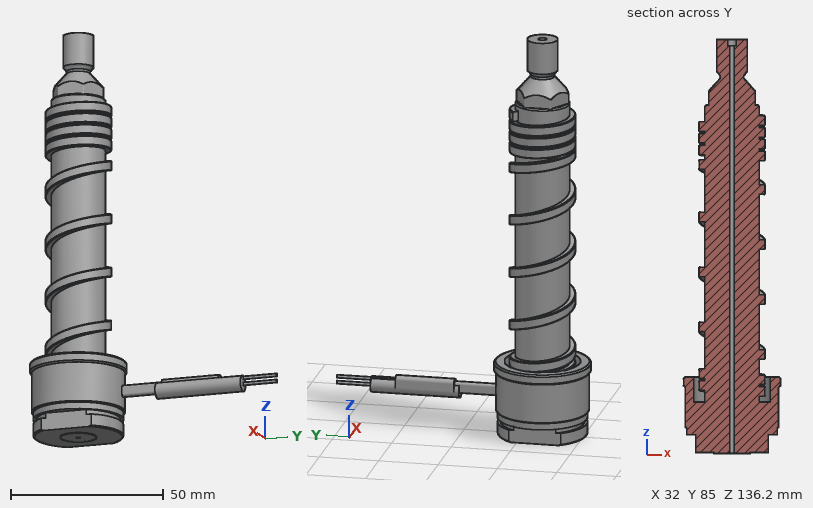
import cadquery as cq
import math

total_height = 136.2
total_depth = 85.0

foot_radius = 6.0
foot_height = 0.3
flange_radius = 14.8
flange_chamfer = 0.4
flange_top = 4.5
neck_radius = 13.9
neck_top = 6.1
ring_diameter = 29.8
ring_radius = ring_diameter / 2
ring_top = 8.3
body_radius = 15.4
body_bottom_chamfer = 0.4
rim_diameter = 32.0
rim_radius = rim_diameter / 2
rim_bottom = 21.8
rim_top = 25.2
rim_chamfer = 0.5
flats_width = 24.0
recess_radius = 12.5
recess_floor = 17.0

tube_radius = 9.0
tube_top = 114.7
tube_chamfer = 0.5

hex_across_flats = 15.4
hex_edge_fillet = 0.4
hex_corner_radius = hex_across_flats / math.sqrt(3)
nozzle_embed = 1.4
nozzle_bottom = tube_top - nozzle_embed
cone_bottom = 117.8
waist_radius = 4.0
waist_bottom = 123.4
waist_top = 124.2
tip_radius = 5.0
tip_bottom = 125.6
tip_shoulder_radius = 4.5
tip_shoulder_bottom = 125.0
orifice_radius = 0.7
counterbore_radius = 1.4
counterbore_depth = 2.0

strip_outer_radius = 10.9
strip_embed = 0.4
strip_inner_radius = tube_radius - strip_embed
strip_width = 3.3
strip_chamfer = 0.3
lower_close_turns = 1.5
blend_turns = 0.5
open_extra_angle = 117.0
open_turns = 3 + open_extra_angle / 360
upper_close_turns = 3.6
open_height = 60.0
open_pitch = open_height / open_turns
upper_close_height = 13.9
close_pitch = upper_close_height / upper_close_turns
coil_end_angle = 129.0
coil_top = 112.5
points_per_turn = 16

wire_x = -0.8
cable_z = 14.6
wire_radius = 0.5
wire_spacing = 2.0
wire_end = total_depth - rim_radius
sheath_x = -0.7
sheath_width = 2.3
sheath_height = 3.8
sheath_corner = 0.8
sheath_start = 13.6
sheath_end = 34.0
sleeve_diameter = 5.3
sleeve_radius = sleeve_diameter / 2
sleeve_z = 13.5
sleeve_start = 27.6
sleeve_end = 57.5
clip_width = 3.4
clip_top = 17.3
clip_corner = 1.2
clip_start = 29.3
clip_end = 49.0


def cylinder(radius, bottom, top):
    return cq.Workplane("XY").workplane(offset=bottom).circle(radius).extrude(top - bottom)


def make_base():
    flange = cylinder(flange_radius, foot_height, flange_top).faces("<Z").chamfer(flange_chamfer)
    neck = cylinder(neck_radius, flange_top, neck_top)
    flats = cq.Workplane("XY").box(flats_width, 2 * rim_radius, 2 * neck_top)
    foot = cylinder(foot_radius, 0, neck_top)
    ring = cylinder(ring_radius, neck_top, rim_bottom)
    body = cylinder(body_radius, ring_top, rim_bottom).faces("<Z").chamfer(body_bottom_chamfer)
    rim = cylinder(rim_radius, rim_bottom, rim_top).faces("<Z or >Z").chamfer(rim_chamfer)
    base = flange.union(neck).intersect(flats).union(foot).union(ring).union(body).union(rim)
    return base.cut(cylinder(recess_radius, recess_floor, rim_top))


def make_tube():
    return cylinder(tube_radius, foot_height, tube_top).faces(">Z").chamfer(tube_chamfer)


def make_nozzle():
    turned = (
        cq.Workplane("XZ")
        .moveTo(0, nozzle_bottom)
        .lineTo(hex_corner_radius, nozzle_bottom)
        .lineTo(hex_corner_radius, cone_bottom)
        .lineTo(waist_radius, waist_bottom)
        .lineTo(waist_radius, waist_top)
        .lineTo(tip_shoulder_radius, tip_shoulder_bottom)
        .lineTo(tip_radius, tip_bottom)
        .lineTo(tip_radius, total_height)
        .lineTo(0, total_height)
        .close()
        .revolve(360, (0, 0, 0), (0, 1, 0))
    )
    hexagon = (
        cq.Workplane("XY")
        .polygon(6, 2 * hex_corner_radius)
        .extrude(total_height)
        .edges("|Z")
        .fillet(hex_edge_fillet)
        .rotate((0, 0, 0), (0, 0, 1), 30)
    )
    return turned.intersect(hexagon)


def coil_rise(turns):
    """Height gained after a number of turns, measured from the lower end of the coil."""
    stretches = [
        (lower_close_turns, close_pitch, close_pitch),
        (blend_turns, close_pitch, open_pitch),
        (open_turns, open_pitch, open_pitch),
        (blend_turns, open_pitch, close_pitch),
        (upper_close_turns, close_pitch, close_pitch),
    ]
    rise = 0.0
    for length, first_pitch, last_pitch in stretches:
        part = min(max(turns, 0.0), length)
        rise += first_pitch * part + (last_pitch - first_pitch) * part**2 / (2 * length)
        turns -= length
    return rise


def make_coil():
    coil_turns = lower_close_turns + open_turns + upper_close_turns + 2 * blend_turns
    coil_bottom = coil_top - strip_width - coil_rise(coil_turns)
    steps = math.ceil(coil_turns * points_per_turn)

    def edge_curve(radius, lift):
        points = []
        for step in range(steps + 1):
            turns = coil_turns * step / steps
            angle = math.radians(coil_end_angle) + 2 * math.pi * (turns - coil_turns)
            height = coil_bottom + lift + coil_rise(turns)
            points.append(cq.Vector(radius * math.cos(angle), radius * math.sin(angle), height))
        return cq.Edge.makeSpline(points)

    chamfered_radius = strip_outer_radius - strip_chamfer
    edges = [
        edge_curve(strip_inner_radius, 0),
        edge_curve(chamfered_radius, 0),
        edge_curve(strip_outer_radius, strip_chamfer),
        edge_curve(strip_outer_radius, strip_width - strip_chamfer),
        edge_curve(chamfered_radius, strip_width),
        edge_curve(strip_inner_radius, strip_width),
    ]
    faces = []
    for index, edge in enumerate(edges):
        faces.append(cq.Face.makeRuledSurface(edge, edges[(index + 1) % len(edges)]))
    starts = [edge.startPoint() for edge in edges]
    ends = [edge.endPoint() for edge in edges]
    for corners in (starts, ends):
        faces.append(cq.Face.makeFromWires(cq.Wire.makePolygon(corners, close=True)))
    return cq.Workplane(cq.Solid.makeSolid(cq.Shell.makeShell(faces)))


def along_y(start):
    """Workplane facing +Y at the given Y, with local x along -X and local y along Z."""
    return cq.Workplane("XZ", origin=(0, start, 0)).transformed(rotate=(0, 180, 0))


def make_oval(x, z, width, height, corner, start, end):
    block = cq.Workplane("XY").box(width, end - start, height).edges("|Y").fillet(corner)
    return block.translate((x, (start + end) / 2, z))


def make_cable():
    cable = make_oval(
        sheath_x, cable_z, sheath_width, sheath_height, sheath_corner, sheath_start, sheath_end
    )
    for side in (-1, 1):
        wire_z = cable_z + side * wire_spacing / 2
        wire = along_y(sheath_start).center(-wire_x, wire_z).circle(wire_radius)
        cable = cable.union(wire.extrude(wire_end - sheath_start))
    sleeve = along_y(sleeve_start).center(0, sleeve_z).circle(sleeve_radius)
    clip_height = 2 * (clip_top - sleeve_z)
    clip_x = clip_width / 2 - sleeve_radius
    clip = make_oval(clip_x, sleeve_z, clip_width, clip_height, clip_corner, clip_start, clip_end)
    clip = clip.cut(cq.Workplane("XY").box(2 * clip_width, 2 * clip_end, 2 * sleeve_z))
    return cable.union(sleeve.extrude(sleeve_end - sleeve_start)).union(clip)


def make_bore():
    through = cylinder(orifice_radius, 0, total_height)
    return through.union(cylinder(counterbore_radius, total_height - counterbore_depth, total_height))


result = make_base().union(make_tube()).union(make_nozzle()).union(make_coil()).union(make_cable())
result = result.cut(make_bore())